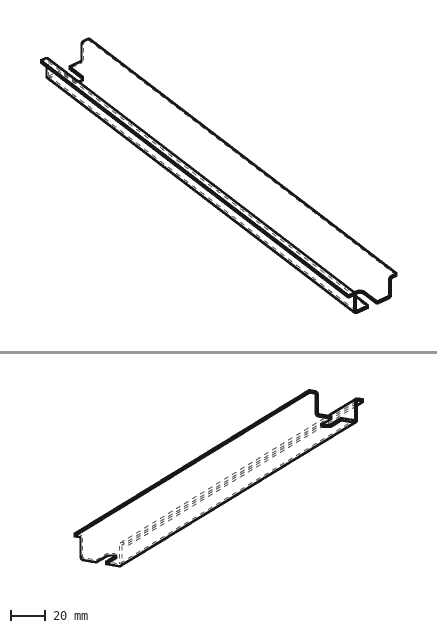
import cadquery as cq

length = 289.0
width = 35.0
height = 15.0

thickness = 1.5
channel_width = 27.0
inner_bend_radius = 0.5
outer_bend_radius = inner_bend_radius + thickness

slot_width = 6.5
slot_depth = 15.0


def bend_edges(wall, level):
    """Select the lengthwise edges at Y = -wall and Y = wall, at height Z = level."""
    reach = thickness / 4

    def edge_at(y):
        return cq.selectors.BoxSelector(
            (-length, y - reach, level - reach),
            (length, y + reach, level + reach),
        )

    return edge_at(-wall) + edge_at(wall)


def make_rail():
    """Extrude the top-hat section along X, with its floor on Z = 0."""
    half_width = width / 2
    outer_wall = channel_width / 2
    inner_wall = outer_wall - thickness
    flange_underside = height - thickness
    outline = [
        (-half_width, height),
        (-inner_wall, height),
        (-inner_wall, thickness),
        (inner_wall, thickness),
        (inner_wall, height),
        (half_width, height),
        (half_width, flange_underside),
        (outer_wall, flange_underside),
        (outer_wall, 0),
        (-outer_wall, 0),
        (-outer_wall, flange_underside),
        (-half_width, flange_underside),
    ]
    rail = cq.Workplane("YZ").polyline(outline).close().extrude(length / 2, both=True)

    outside_bends = bend_edges(outer_wall, 0) + bend_edges(inner_wall, height)
    inside_bends = bend_edges(inner_wall, thickness) + bend_edges(outer_wall, flange_underside)
    rail = rail.edges("|X").edges(outside_bends).fillet(outer_bend_radius)
    return rail.edges("|X").edges(inside_bends).fillet(inner_bend_radius)


def make_end_slot(end):
    """Round-nosed cutter reaching in from the rail end at X = end."""
    return (
        cq.Workplane("XY")
        .center(end, 0)
        .slot2D(2 * slot_depth, slot_width)
        .extrude(height)
    )


result = make_rail()
for end in (-length / 2, length / 2):
    result = result.cut(make_end_slot(end))